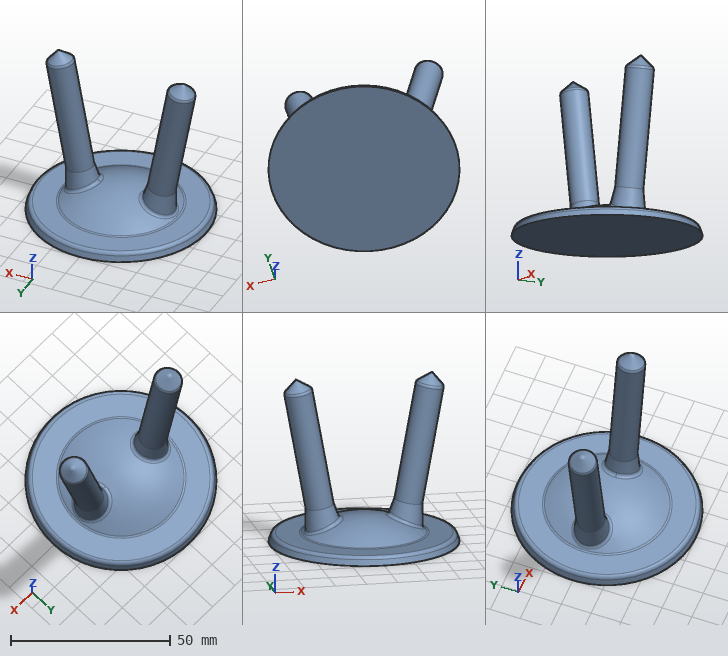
import cadquery as cq
import math

base_radius = 30.0
base_thickness = 3.0
rim_draft = 20.0
rim_fillet = 1.5

dome_height = 6.0
dome_edge_radius = 20.0
dome_fillet = 1.2

pin_radius = 4.5
pin_tilt = 10.4
tip_x = 21.85
tip_z = 53.75
tip_half_angle = 50.0
tip_fillet = 1.2
flare_start = 42.0
flare_half_angle = 10.0
flare_length = 10.8
flare_fillet = 1.2


def tan_deg(angle):
    return math.tan(math.radians(angle))


def make_base():
    """Plate and dome, turned about Z."""
    top_radius = base_radius - base_thickness * tan_deg(rim_draft)
    dome_top = base_thickness + dome_height
    sphere_radius = (dome_edge_radius**2 + dome_height**2) / (2 * dome_height)
    arc_mid_radius = dome_edge_radius / 2
    arc_mid_z = dome_top - sphere_radius + math.sqrt(sphere_radius**2 - arc_mid_radius**2)
    body = (
        cq.Workplane("XZ")
        .moveTo(0, 0)
        .lineTo(base_radius, 0)
        .lineTo(top_radius, base_thickness)
        .lineTo(dome_edge_radius, base_thickness)
        .threePointArc((arc_mid_radius, arc_mid_z), (0, dome_top))
        .close()
        .revolve(360, (0, 0, 0), (0, 1, 0))
    )
    body = body.faces("%CONE").edges(">Z").fillet(rim_fillet)
    return body.faces("%SPHERE").edges("<Z").fillet(dome_fillet)


def make_pin():
    """Right-hand pin: pointed rod with a flared foot, turned about its own axis and tilted."""
    shoulder_z = -pin_radius / tan_deg(tip_half_angle)
    foot_z = -flare_start - flare_length
    foot_radius = pin_radius + flare_length * tan_deg(flare_half_angle)
    pin = (
        cq.Workplane("XZ")
        .moveTo(0, 0)
        .lineTo(pin_radius, shoulder_z)
        .lineTo(pin_radius, -flare_start)
        .lineTo(foot_radius, foot_z)
        .lineTo(0, foot_z)
        .close()
        .revolve(360, (0, 0, 0), (0, 1, 0))
    )
    pin = pin.faces("%CYLINDER").edges(">Z").fillet(tip_fillet)
    return pin.rotate((0, 0, 0), (0, 1, 0), pin_tilt).translate((tip_x, 0, tip_z))


right_pin = make_pin()
left_pin = right_pin.mirror("YZ")
joined = make_base().union(right_pin).union(left_pin)

middle_of_dome = cq.selectors.BoxSelector(
    (-dome_edge_radius, -dome_edge_radius, base_thickness + 0.1 * dome_height),
    (dome_edge_radius, dome_edge_radius, base_thickness + dome_height),
)
foot_edges = joined.edges("%BSPLINE").edges(middle_of_dome)
result = foot_edges.fillet(flare_fillet)